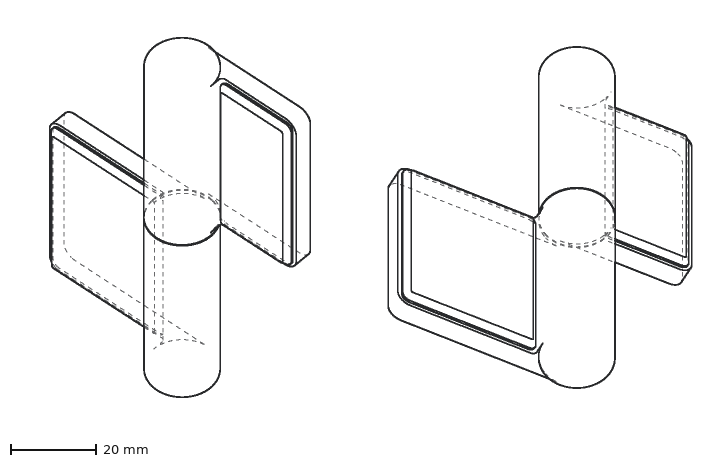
import cadquery as cq

TOTAL_HEIGHT = 105.0
HALF_HEIGHT = TOTAL_HEIGHT / 2
BARREL_DIAMETER = 18.0
BARREL_RADIUS = BARREL_DIAMETER / 2
END_FILLET = 0.7
JOINT_GAP = 0.3

TOTAL_WIDTH = 77.5
LEFT_REACH = 45.2
RIGHT_REACH = TOTAL_WIDTH - LEFT_REACH
LEAF_HEIGHT = 50.1
LEAF_BOTTOM = (HALF_HEIGHT - LEAF_HEIGHT) / 2
LEAF_THICKNESS = 5.0
LEAF_CORNER_RADIUS = 3.5
WEB_FILLET = 1.0

PAD_HEIGHT = 2.0
PAD_INSET = 1.0
PAD_WALL = 0.5
PAD_CORNER_RADIUS = 2.0
PAD_CHAMFER = PAD_HEIGHT - PAD_WALL

LEAF_FRONT = BARREL_RADIUS - LEAF_THICKNESS


def make_barrel():
    """Lower barrel with its outer end rounded and half the joint gap left free."""
    length = HALF_HEIGHT - JOINT_GAP / 2
    return cq.Workplane("XY").circle(BARREL_RADIUS).extrude(length).faces("<Z").fillet(END_FILLET)


def make_leaf(reach):
    """Plate along +X and the web that runs tangent to the barrel, with a filleted inner corner."""
    plate = (
        cq.Workplane("XY", origin=(0, 0, LEAF_BOTTOM))
        .moveTo(0, BARREL_RADIUS)
        .lineTo(reach, BARREL_RADIUS)
        .lineTo(reach, LEAF_FRONT)
        .lineTo(BARREL_RADIUS, LEAF_FRONT)
        .lineTo(BARREL_RADIUS, 0)
        .lineTo(0, 0)
        .close()
        .extrude(LEAF_HEIGHT)
    )
    plate = plate.edges("|Y and >X").fillet(LEAF_CORNER_RADIUS)
    inner_corner = cq.selectors.NearestToPointSelector((BARREL_RADIUS, LEAF_FRONT, HALF_HEIGHT / 2))
    return plate.edges("|Z").edges(inner_corner).fillet(WEB_FILLET)


def make_pad(reach):
    """Raised panel with a chamfered rim; its inner side starts at the web."""
    width = reach - PAD_INSET - BARREL_RADIUS
    height = LEAF_HEIGHT - 2 * PAD_INSET
    return (
        cq.Workplane("XZ", origin=(BARREL_RADIUS + width / 2, LEAF_FRONT, HALF_HEIGHT / 2))
        .rect(width, height)
        .extrude(PAD_HEIGHT)
        .edges("|Y")
        .fillet(PAD_CORNER_RADIUS)
        .faces("<Y")
        .chamfer(PAD_CHAMFER)
    )


def make_hinge_half(reach):
    """Lower hinge half with its leaf pointing along +X."""
    return make_barrel().union(make_leaf(reach)).union(make_pad(reach))


lower_half = make_hinge_half(LEFT_REACH).mirror("YZ")
upper_half = make_hinge_half(RIGHT_REACH).mirror("XY").translate((0, 0, TOTAL_HEIGHT))

result = cq.Compound.makeCompound([lower_half.val(), upper_half.val()])